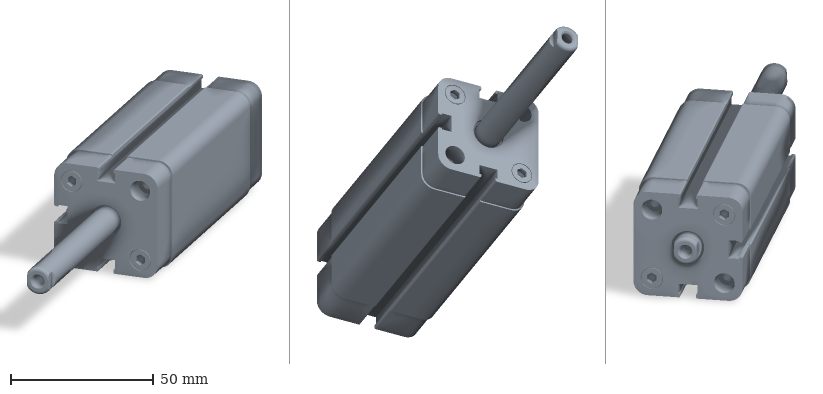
import cadquery as cq
import math


total_length = 170.5
tube_length = 74.0
cap_length = 13.0
rear_rod_length = 5.3
rod_rear = total_length / 2
rod_front = -rod_rear
body_length = tube_length + 2 * cap_length
body_rear = rod_rear - rear_rod_length
body_front = body_rear - body_length
body_middle = (body_front + body_rear) / 2

tube_side = 40.0
cap_side = 39.0
corner_radius = 5.1

slot_neck_width = 5.6
slot_inner_width = 6.8
slot_lip_radius = 0.5
slot_lip_underside = tube_side / 2 - 1.9
slot_floor = tube_side / 2 - 5.6
slot_turns = (0, 90, 270)

corner_offset = 13.0
through_diameter = 4.1
counterbore_diameter = 7.5
counterbore_depth = 7.5
screw_bore_diameter = 8.0
screw_head_diameter = 7.5
screw_gap_depth = 0.5
socket_corner_diameter = 4.1
socket_depth = 2.0

rod_diameter = 10.0
rod_end_diameter = 7.5
rod_end_radius = (rod_diameter - rod_end_diameter) / 2
flat_spacing = 8.0
flat_length = 3.4
flat_step = (rod_diameter - flat_spacing) / 2
rod_recess_diameter = 11.6
rod_recess_depth = 1.0

rod_hole_diameter = 4.1
rod_hole_mouth_diameter = 5.3
rod_hole_depth = 13.6
drill_point_angle = 118


def plane_at(y):
    """Plane across the axis whose local x is X, local y is Z and normal is -Y."""
    return cq.Workplane("XZ", origin=(0, y, 0))


def slot_cutter(side, length, y):
    """T-slot opening on the -X side of a square section, with rounded lips."""
    surface = side / 2
    neck = slot_neck_width / 2
    inner = slot_inner_width / 2
    mouth = neck + slot_lip_radius
    arc_inset = slot_lip_radius * (1 - math.sqrt(0.5))
    return (
        plane_at(y)
        .moveTo(-surface, mouth)
        .threePointArc((-surface + arc_inset, neck + arc_inset), (-surface + slot_lip_radius, neck))
        .lineTo(-slot_lip_underside, neck)
        .lineTo(-slot_lip_underside, inner)
        .lineTo(-slot_floor, inner)
        .lineTo(-slot_floor, -inner)
        .lineTo(-slot_lip_underside, -inner)
        .lineTo(-slot_lip_underside, -neck)
        .lineTo(-surface + slot_lip_radius, -neck)
        .threePointArc((-surface + arc_inset, -neck - arc_inset), (-surface, -mouth))
        .close()
        .extrude(length)
    )


def slotted_block(side, length, y):
    """Rounded square block from y toward -Y, slotted on its -X, +Z and -Z sides.

    Turning about +Y takes the slot on -X to +Z, +X and -Z in turn.
    """
    block = plane_at(y).rect(side, side).extrude(length).edges("|Y").fillet(corner_radius)
    cutter = slot_cutter(side, length, y)
    for turn in slot_turns:
        block = block.cut(cutter.rotate((0, 0, 0), (0, 1, 0), turn))
    return block


def mirrored_pair(front_feature, y):
    """A feature at the front together with its mirror image across the plane at y."""
    return front_feature.union(front_feature.mirror("XZ", (0, y, 0)))


def front_pocket(diameter, depth, points):
    """Round pockets sunk into the front cap face."""
    return plane_at(body_front + depth).pushPoints(points).circle(diameter / 2).extrude(depth)


def screw_gaps(points):
    """Narrow ring gaps between the screw heads and their bores."""
    bores = front_pocket(screw_bore_diameter, screw_gap_depth, points)
    return bores.cut(front_pocket(screw_head_diameter, screw_gap_depth, points))


def screw_sockets(points):
    """Hexagonal sockets with a corner toward +Z, sunk into the flush screw heads."""
    socket = (
        plane_at(body_front + socket_depth)
        .polygon(6, socket_corner_diameter)
        .extrude(socket_depth)
        .rotate((0, 0, 0), (0, 1, 0), 30)
    )
    sockets = cq.Workplane("XZ")
    for x, z in points:
        sockets = sockets.union(socket.translate((x, 0, z)))
    return sockets


def flat_cutter(direction):
    """Wedge that cuts one spanner flat with a 45 degree shoulder at the front rod end."""
    flat = flat_spacing / 2
    shoulder = rod_front + flat_length
    return (
        cq.Workplane("XY")
        .polyline([
            (direction * flat, rod_front),
            (direction * flat, shoulder),
            (direction * (flat + flat_step), shoulder + flat_step),
            (direction * (flat + flat_step), rod_front),
        ])
        .close()
        .extrude(rod_diameter / 2, both=True)
    )


def rod_hole_cutter():
    """Countersunk blind hole with a drill point, at the front rod end."""
    radius = rod_hole_diameter / 2
    mouth = rod_hole_mouth_diameter / 2
    tip_length = radius / math.tan(math.radians(drill_point_angle / 2))
    return (
        cq.Workplane("XY")
        .polyline([
            (0, rod_front),
            (mouth, rod_front),
            (radius, rod_front + mouth - radius),
            (radius, rod_front + rod_hole_depth),
            (0, rod_front + rod_hole_depth + tip_length),
        ])
        .close()
        .revolve(360, (0, 0), (0, 1))
    )


def make_body():
    body = slotted_block(tube_side, tube_length, body_rear - cap_length)
    for cap_rear in (body_rear, body_front + cap_length):
        body = body.union(slotted_block(cap_side, cap_length, cap_rear))

    mount_points = [(corner_offset, corner_offset), (-corner_offset, -corner_offset)]
    screw_points = [(-corner_offset, corner_offset), (corner_offset, -corner_offset)]
    through_holes = plane_at(body_rear).pushPoints(mount_points).circle(through_diameter / 2)
    body = body.cut(through_holes.extrude(body_length))

    end_cuts = [
        front_pocket(counterbore_diameter, counterbore_depth, mount_points),
        screw_gaps(screw_points),
        screw_sockets(screw_points),
        front_pocket(rod_recess_diameter, rod_recess_depth, [(0, 0)]),
    ]
    for cut in end_cuts:
        body = body.cut(mirrored_pair(cut, body_middle))
    return body


def make_rod():
    rod = plane_at(rod_rear).circle(rod_diameter / 2).extrude(total_length)
    rod = rod.faces("<Y or >Y").edges().fillet(rod_end_radius)
    for cut in (flat_cutter(-1), flat_cutter(1), rod_hole_cutter()):
        rod = rod.cut(mirrored_pair(cut, 0))
    return rod


result = make_body().union(make_rod())